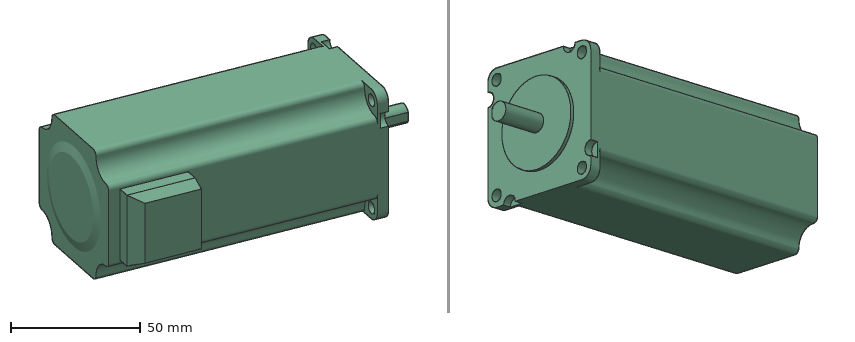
import cadquery as cq
import math

width = 57.0
half = width / 2
total_length = 146.0
rear_boss_height = 1.0
front_projection = 22.0
body_length = total_length - rear_boss_height - front_projection

flange_thickness = 5.0
flange_corner_radius = 5.0
hole_pitch = 47.2
hole_diameter = 5.1

scallop_radius = 8.0
scallop_lip_radius = 2.3

notch_radius = 3.2
notch_depth = 3.6
notch_offset = 16.5

pilot_diameter = 38.1
pilot_height = 1.6
shaft_diameter = 8.0
shaft_flat_length = 15.0
shaft_flat_distance = 3.5

rear_boss_base_diameter = 44.0
rear_boss_top_diameter = 36.0

connector_depth = 10.8
connector_straight_depth = 5.7
connector_height = 31.2
connector_side_taper = 2.5
connector_rear = 5.0
connector_length = 30.0
connector_rear_taper = 5.1


def extrude_along_y(outline, start, length):
    """Extrude an outline drawn in the XZ plane toward +Y, beginning at Y = start."""
    return outline.extrude(-length).translate((0, start, 0))


def cylinder(start, diameter, length):
    return extrude_along_y(cq.Workplane("XZ").circle(diameter / 2), start, length)


def quarter_turns(cutter):
    """The cutter repeated at four quarter turns around the motor axis."""
    return [cutter.rotate((0, 0, 0), (0, 1, 0), 90 * turn) for turn in range(4)]


def make_body():
    body = extrude_along_y(cq.Workplane("XZ").rect(width, width), 0, body_length)
    return body.edges("|Y").fillet(flange_corner_radius)


def make_scallop():
    """Cutter for the (+X, +Z) corner: a concave arc joined to both faces by convex lips."""
    center = half - scallop_lip_radius
    arc_end = center - scallop_radius
    face_end = arc_end - scallop_lip_radius
    arc_middle = center - scallop_radius * math.sqrt(0.5)
    lip_step = scallop_lip_radius * math.sqrt(0.5)
    lip_middle = (face_end + lip_step, center + lip_step)
    outline = (
        cq.Workplane("XZ")
        .moveTo(face_end, half)
        .threePointArc(lip_middle, (arc_end, center))
        .threePointArc((arc_middle, arc_middle), (center, arc_end))
        .threePointArc(lip_middle[::-1], (half, face_end))
        .lineTo(half, half)
        .close()
    )
    return extrude_along_y(outline, 0, body_length - flange_thickness)


def make_notch():
    """Cutter for the half-round notch in the +Z edge of the flange front."""
    outline = cq.Workplane("XZ").center(-notch_offset, half).circle(notch_radius)
    return extrude_along_y(outline, body_length - notch_depth, notch_depth)


def make_mounting_holes():
    outline = (
        cq.Workplane("XZ")
        .rect(hole_pitch, hole_pitch, forConstruction=True)
        .vertices()
        .circle(hole_diameter / 2)
    )
    return extrude_along_y(outline, 0, body_length)


def make_shaft():
    """Round shaft with a flat on its +X side near the tip."""
    shaft = cylinder(body_length, shaft_diameter, front_projection)
    flat_start = body_length + front_projection - shaft_flat_length
    flat = (
        cq.Workplane("XY")
        .box(shaft_diameter, shaft_flat_length, shaft_diameter, centered=(False, False, True))
        .translate((shaft_flat_distance, flat_start, 0))
    )
    return shaft.cut(flat)


def make_rear_boss():
    """Conical boss that narrows toward -Y."""
    return (
        cq.Workplane("XZ")
        .circle(rear_boss_base_diameter / 2)
        .workplane(offset=rear_boss_height)
        .circle(rear_boss_top_diameter / 2)
        .loft(ruled=True)
    )


def make_connector():
    """Block on the +X face whose outer part tapers at the rear and on both Z sides."""
    shoulder = half + connector_straight_depth
    outer = half + connector_depth
    front = connector_rear + connector_length
    half_height = connector_height / 2
    outer_half_height = half_height - connector_side_taper
    side = (
        cq.Workplane("XY")
        .workplane(offset=-half_height)
        .moveTo(half, connector_rear)
        .lineTo(shoulder, connector_rear)
        .lineTo(outer, connector_rear + connector_rear_taper)
        .lineTo(outer, front)
        .lineTo(half, front)
        .close()
        .extrude(connector_height)
    )
    end = (
        cq.Workplane("XZ")
        .moveTo(half, -half_height)
        .lineTo(shoulder, -half_height)
        .lineTo(outer, -outer_half_height)
        .lineTo(outer, outer_half_height)
        .lineTo(shoulder, half_height)
        .lineTo(half, half_height)
        .close()
    )
    return side.intersect(extrude_along_y(end, connector_rear, connector_length))


result = make_body()
for cutter in quarter_turns(make_scallop()) + quarter_turns(make_notch()):
    result = result.cut(cutter)
result = (
    result.cut(make_mounting_holes())
    .union(cylinder(body_length, pilot_diameter, pilot_height))
    .union(make_shaft())
    .union(make_rear_boss())
    .union(make_connector())
)